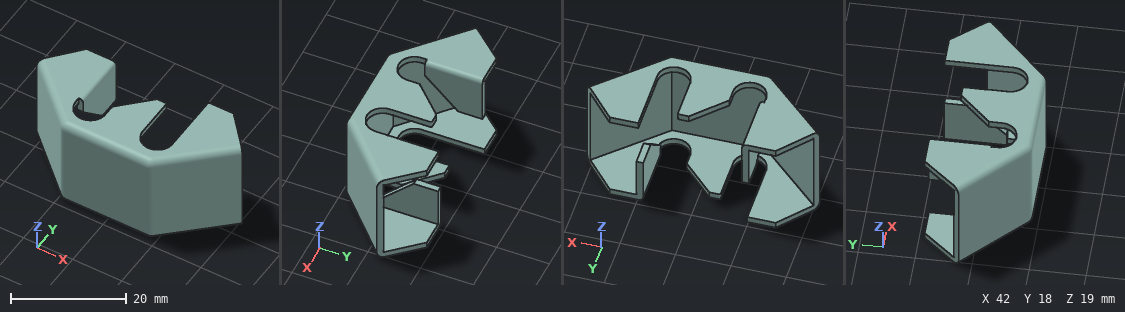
import cadquery as cq
import math


half_width = 21.0
depth = 18.0
height = 19.0
sheet = 1.25
bend_radius = 1.5
front_half_width = 9.05
wall_end_y = 11.17
back_half_width = 15.0

slot_width = 5.95
slot_offset = 6.85
slot_bottom_y = 3.05
tongue_end_y = 14.03
tongue_cut_y = 12.2
tongue_corner_radius = 0.3

flap_overhang = 0.92
flap_start_y = 7.05
flap_chamfer = 6.35
flap_gap = 0.2

half_height = height / 2
slot_radius = slot_width / 2
slot_outer_x = slot_offset + slot_radius
tongue_half_width = slot_offset - slot_radius


def half_turn(shape):
    """Turn a shape half way round the Y axis."""
    return shape.rotate((0, 0, 0), (0, 1, 0), 180)


def make_shell():
    """Folded body with rounded outer bends, open at the back and both ends."""
    outline = [
        (-front_half_width, 0),
        (front_half_width, 0),
        (half_width, wall_end_y),
        (back_half_width, depth),
        (-back_half_width, depth),
        (-half_width, wall_end_y),
    ]
    body = cq.Workplane("XY").polyline(outline).close().extrude(half_height, both=True)
    body = body.edges().filter(is_bend).fillet(bend_radius)

    run = half_width - front_half_width
    wall_length = math.hypot(run, wall_end_y)
    normal_shift = sheet * wall_length / wall_end_y
    slope = wall_end_y / run
    inner_half_width = front_half_width - normal_shift + sheet / slope
    far_x = 2 * half_width
    far_y = sheet + slope * (far_x - inner_half_width)
    cavity = (
        cq.Workplane("XY")
        .polyline([(-inner_half_width, sheet), (inner_half_width, sheet), (far_x, far_y), (-far_x, far_y)])
        .close()
        .extrude(half_height - sheet, both=True)
    )
    return body.cut(cavity)


def is_bend(edge):
    """True for the edges along the three walls and the two folds between them."""
    middle = edge.Center()
    is_fold = middle.y < sheet
    is_wall_edge = abs(middle.y - wall_end_y / 2) < sheet and abs(middle.z) > sheet
    return is_fold or is_wall_edge


def make_slots():
    """Round-bottomed slots through both plates, joined behind the tongue."""
    center_y = slot_bottom_y + slot_radius
    slots = (
        cq.Workplane("XY")
        .pushPoints([(-slot_offset, center_y), (slot_offset, center_y)])
        .circle(slot_radius)
        .extrude(height, both=True)
    )
    opening = (
        cq.Workplane("XY")
        .box(2 * slot_outer_x, depth, 2 * height, centered=(True, False, True))
        .translate((0, center_y, 0))
    )
    tongue = (
        cq.Workplane("XY")
        .box(2 * tongue_half_width, tongue_end_y, 2 * height, centered=(True, False, True))
        .edges("|Z and >Y")
        .fillet(tongue_corner_radius)
    )
    return slots.union(opening).cut(tongue)


def make_tongue_cut():
    """Wedge that trims the -X corner of the top tongue at 45 degrees."""
    rise = tongue_half_width
    return (
        cq.Workplane("XY")
        .polyline([(-rise, tongue_cut_y - rise), (rise, tongue_cut_y + rise), (-rise, tongue_cut_y + rise)])
        .close()
        .extrude(height)
    )


def make_flap():
    """Flap hanging from the top plate at the -X slot, with a chamfered lower corner."""
    inner_x = flap_overhang - slot_outer_x
    return (
        cq.Workplane("XY")
        .box(sheet, depth - flap_start_y, half_height - flap_gap / 2, centered=False)
        .translate((inner_x - sheet, flap_start_y, flap_gap / 2))
        .edges("|X and <Y and <Z")
        .chamfer(flap_chamfer)
        .edges("|Y and >X and >Z")
        .fillet(flap_overhang)
    )


shell = make_shell().cut(make_slots())
tongue_cut = make_tongue_cut()
flap = make_flap()
result = shell.cut(tongue_cut).cut(half_turn(tongue_cut)).union(flap).union(half_turn(flap))